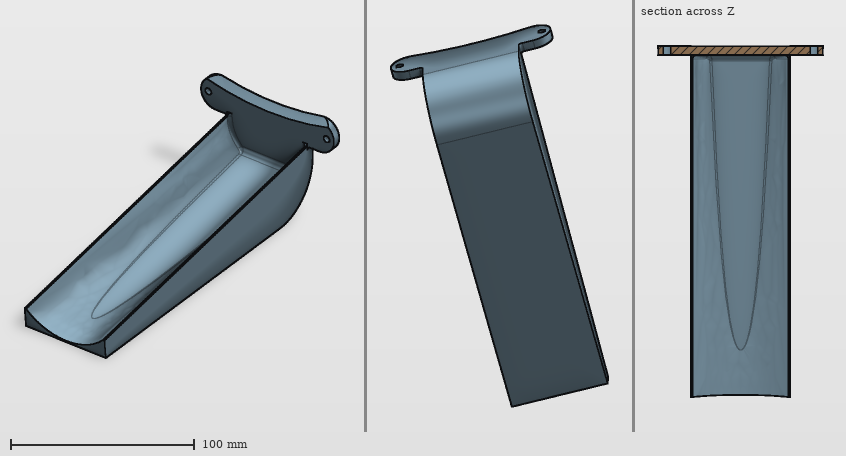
import cadquery as cq
import math

plate_width = 90
plate_top = 60
plate_thickness = 5
ear_radius = 10
hole_diameter = 4
hole_spacing = 80
top_arc_radius = 160
top_arc_low_back = 56.3
top_arc_low_front = 52.5
corner_radius = 2

body_width = 54
tip_y = -191.29
rim_height_at_plate = 40.3
rim_height_at_tip = 12.1
tip_lean = math.radians(6)
heel_radius = 30

wall = 1
channel_depth_at_tip = 11.2
floor_height_at_plate = 20.2
floor_end_y = -164
floor_end_height = 2.9
wall_fillet = 2
floor_fillet = 3.5
rim_fillet = 1.5

plate_front = -plate_thickness
ear_x = plate_width / 2 - ear_radius
hole_x = hole_spacing / 2
ear_z = plate_top - ear_radius
plate_bottom = ear_z - ear_radius
half_body = body_width / 2
half_channel = half_body - wall
rim_slope = (rim_height_at_plate - rim_height_at_tip) / (plate_front - tip_y)
clearance = 8


def rim_height(y):
    return rim_height_at_tip + rim_slope * (y - tip_y)


def side_profile(points):
    return cq.Workplane("YZ").polyline(points).close()


def make_plate():
    plate = (
        cq.Workplane("XZ")
        .moveTo(-ear_x, plate_bottom)
        .lineTo(ear_x, plate_bottom)
        .threePointArc((ear_x + ear_radius, ear_z), (ear_x, plate_top))
        .lineTo(-ear_x, plate_top)
        .threePointArc((-ear_x - ear_radius, ear_z), (-ear_x, plate_bottom))
        .close()
        .extrude(plate_thickness)
    )
    holes = (
        cq.Workplane("XZ")
        .pushPoints([(-hole_x, ear_z), (hole_x, ear_z)])
        .circle(hole_diameter / 2)
        .extrude(plate_thickness)
    )
    return plate.cut(holes).cut(make_top_scoop())


def make_top_scoop():
    """Slanted cylinder that hollows the top of the plate, lower at the front."""
    drop = cq.Vector(0, plate_front, top_arc_low_front - top_arc_low_back)
    circle = cq.Wire.makeCircle(
        top_arc_radius,
        cq.Vector(0, 0, top_arc_low_back + top_arc_radius),
        cq.Vector(0, 1, 0),
    )
    return cq.Workplane(cq.Solid.extrudeLinear(circle, [], drop))


def make_body():
    tip_bottom_y = tip_y + rim_height_at_tip * math.tan(tip_lean)
    body = side_profile([
        (0, 0),
        (tip_bottom_y, 0),
        (tip_y, rim_height_at_tip),
        (plate_front, rim_height_at_plate),
        (0, rim_height_at_plate),
    ]).extrude(half_body, both=True)
    return body.edges(cq.selectors.NearestToPointSelector((0, 0, 0))).fillet(heel_radius)


def make_corner_webs():
    """Concave fillets between the plate underside and the sides of the body."""
    web = (
        cq.Workplane("XZ")
        .moveTo(half_body, plate_bottom)
        .lineTo(half_body + corner_radius, plate_bottom)
        .radiusArc((half_body, plate_bottom - corner_radius), -corner_radius)
        .close()
        .extrude(plate_thickness)
    )
    return web.union(web.mirror("YZ"))


def make_rim_fillet():
    """Concave fillet between the rim and the front of the plate, over the side walls only."""
    end_y = plate_front - rim_fillet
    strip = (
        cq.Workplane("YZ")
        .moveTo(plate_front, rim_height_at_plate - rim_fillet)
        .lineTo(plate_front, rim_height_at_plate + rim_fillet)
        .radiusArc((end_y, rim_height(end_y)), -rim_fillet)
        .lineTo(end_y, rim_height_at_plate - rim_fillet)
        .close()
        .extrude(half_body, both=True)
    )
    opening_length = 2 * clearance
    opening = (
        cq.Workplane("XY")
        .center(0, plate_front - opening_length / 2)
        .rect(2 * half_channel, opening_length)
        .extrude(plate_top)
        .edges("|Z")
        .fillet(wall_fillet)
    )
    return strip.cut(opening)


def channel_section(plane, depth):
    """Round-bottomed section whose local origin is the middle of the rim."""
    return (
        cq.Workplane(plane)
        .moveTo(-half_channel, 0)
        .threePointArc((0, -depth), (half_channel, 0))
        .close()
        .wire()
        .val()
    )


def make_channel():
    """Space inside the body: a loft that gets shallower to the tip, over a sloping floor."""
    plate_plane = cq.Plane((0, plate_front, rim_height_at_plate), (1, 0, 0), (0, -1, 0))
    tip_normal = (0, -math.cos(tip_lean), -math.sin(tip_lean))
    tip_plane = cq.Plane((0, tip_y, rim_height_at_tip), (1, 0, 0), tip_normal)
    loft = cq.Workplane(cq.Solid.makeLoft([
        channel_section(plate_plane, half_channel),
        channel_section(tip_plane, channel_depth_at_tip),
    ], True))
    floor_slope = (floor_height_at_plate - floor_end_height) / (plate_front - floor_end_y)
    ramp_end = tip_y - clearance
    ramp_end_height = floor_height_at_plate + floor_slope * (ramp_end - plate_front)
    ramp = side_profile([
        (0, -clearance),
        (ramp_end, -clearance),
        (ramp_end, ramp_end_height),
        (0, floor_height_at_plate - floor_slope * plate_front),
    ]).extrude(half_body, both=True)
    channel = loft.cut(ramp)
    channel = channel.faces(">Y").edges("|X").edges("<Z").fillet(floor_fillet)
    floor_middle = (0, (plate_front + floor_end_y) / 2, (floor_height_at_plate + floor_end_height) / 2)
    floor_outline = channel.edges(cq.selectors.NearestToPointSelector(floor_middle))
    return channel.faces(">Y").edges("%CIRCLE").add(floor_outline).fillet(wall_fillet)


trough = make_body().cut(make_channel())
plate = make_plate().union(make_corner_webs())
result = trough.union(plate).union(make_rim_fillet())